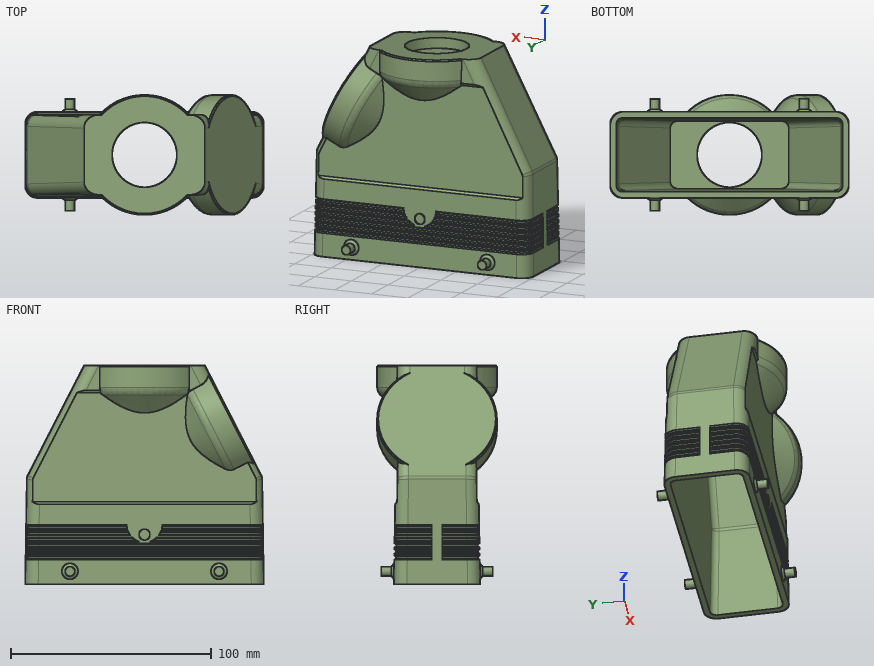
import cadquery as cq
import math

LENGTH = 119.2
HALF_WIDTH = 21.6
HEIGHT = 109.2
DRAFT_ANGLE = 0.9
SHOULDER_Z = 53.4
TOP_HALF_LENGTH = 30.2
CORNER_RADIUS = 6.4
SHOULDER_ROUND = 3.6

WALL = 3.1
ROOF_THICKNESS = 5.5
ENTRY_RADIUS = 16.1

RECESS_DEPTH = 1.0
RECESS_RAMP = 1.3
RECESS_BOTTOM_Z = 40.0
RECESS_TOP_Z = 96.8

COLLAR_DIAMETER = 60.0
COLLAR_RADIUS = COLLAR_DIAMETER / 2
COLLAR_CYLINDER_HEIGHT = 13.0
COLLAR_CONE_HEIGHT = 13.1
COLLAR_ROUND = 5.4
SLOPE_COLLAR_SHIFT = 1.2
RIM_CHAMFER = 0.7

GROOVE_COUNT = 6
GROOVE_BOTTOM_Z = 12.2
GROOVE_TOP_Z = 29.7
GROOVE_MOUTH = 2.3
GROOVE_FLOOR = 1.0
GROOVE_DEPTH = 0.8
GROOVE_PITCH = (GROOVE_TOP_Z - GROOVE_MOUTH - GROOVE_BOTTOM_Z) / (GROOVE_COUNT - 1)
END_GAP_HALF_WIDTH = 2.6

TONGUE_RADIUS = 8.8
DIMPLE_RADIUS = 2.7
DIMPLE_Z = 24.8
DIMPLE_DEPTH = 0.6

PEG_X = 37.2
PEG_Z = 6.4
PEG_RADIUS = 2.4
PEG_TIP_Y = 27.9
PEG_BASE_RADIUS = 4.0
PEG_BASE_TIP_Y = 22.8

EDGE_BAND = 3.6

DRAFT_SLOPE = math.tan(math.radians(DRAFT_ANGLE))
SHOULDER_HALF_LENGTH = LENGTH / 2 - DRAFT_SLOPE * SHOULDER_Z
SLOPE_RUN = SHOULDER_HALF_LENGTH - TOP_HALF_LENGTH
SLOPE_RISE = HEIGHT - SHOULDER_Z
SLOPE_LENGTH = math.hypot(SLOPE_RUN, SLOPE_RISE)
SLOPE_NORMAL = (SLOPE_RISE / SLOPE_LENGTH, 0, SLOPE_RUN / SLOPE_LENGTH)
SLOPE_COLLAR_REACH = SLOPE_LENGTH / 2 + SLOPE_COLLAR_SHIFT
SLOPE_COLLAR_CENTER = (
    SHOULDER_HALF_LENGTH - SLOPE_COLLAR_REACH * SLOPE_NORMAL[2],
    0,
    SHOULDER_Z + SLOPE_COLLAR_REACH * SLOPE_NORMAL[0],
)


def half_width_at(z):
    """Half width of the drafted broad faces at height z."""
    return HALF_WIDTH - DRAFT_SLOPE * z


def edges_near(z):
    """Selector for edges whose centre lies in a thin band around height z."""
    return cq.selectors.BoxSelector(
        (-LENGTH, -LENGTH, z - EDGE_BAND),
        (LENGTH, LENGTH, z + EDGE_BAND),
    )


def hood(inset, top_z):
    """Drafted block with sloped, rounded shoulders, its sides moved inwards by inset."""
    slope_ratio = SLOPE_RUN / SLOPE_RISE
    foot_x = SHOULDER_HALF_LENGTH + slope_ratio * SHOULDER_Z - inset / SLOPE_NORMAL[0]
    crown_x = foot_x - slope_ratio * top_z
    gable = (
        cq.Workplane("XZ")
        .polyline([(-foot_x, 0), (foot_x, 0), (crown_x, top_z), (-crown_x, top_z)])
        .close()
        .extrude(HALF_WIDTH, both=True)
    )
    block = (
        cq.Workplane("XY")
        .rect(LENGTH - 2 * inset, 2 * (HALF_WIDTH - inset))
        .extrude(HEIGHT, taper=DRAFT_ANGLE)
        .intersect(gable)
    )
    block = block.edges(edges_near(SHOULDER_Z)).fillet(SHOULDER_ROUND)
    return block.edges("not(#Z or |Y)").fillet(CORNER_RADIUS - inset)


def face_recess():
    """Cutter for the recess on the -Y face; its ends are short ramps."""
    def face_y(z, depth):
        return -half_width_at(z) + depth

    ramp_top = RECESS_TOP_Z - RECESS_RAMP
    ramp_bottom = RECESS_BOTTOM_Z + RECESS_RAMP
    outside_y = -HALF_WIDTH - RECESS_DEPTH
    return (
        cq.Workplane("YZ")
        .polyline([
            (outside_y, RECESS_BOTTOM_Z),
            (face_y(RECESS_BOTTOM_Z, 0), RECESS_BOTTOM_Z),
            (face_y(ramp_bottom, RECESS_DEPTH), ramp_bottom),
            (face_y(ramp_top, RECESS_DEPTH), ramp_top),
            (face_y(RECESS_TOP_Z, 0), RECESS_TOP_Z),
            (outside_y, RECESS_TOP_Z),
        ])
        .close()
        .extrude(LENGTH / 2, both=True)
    )


def collar(center, outward):
    """Round collar whose flat rim lies at center and faces outward."""
    cone_tip_radius = COLLAR_RADIUS - COLLAR_CONE_HEIGHT
    cone_end = -COLLAR_CYLINDER_HEIGHT - COLLAR_CONE_HEIGHT
    turned = (
        cq.Workplane("XZ")
        .polyline([
            (0, 0),
            (COLLAR_RADIUS, 0),
            (COLLAR_RADIUS, -COLLAR_CYLINDER_HEIGHT),
            (cone_tip_radius, cone_end),
            (0, cone_end),
        ])
        .close()
        .revolve(360, (0, 0, 0), (0, 1, 0))
    )
    turned = turned.faces(">Z").chamfer(RIM_CHAMFER)
    turned = turned.edges(edges_near(-COLLAR_CYLINDER_HEIGHT)).fillet(COLLAR_ROUND)
    seat = cq.Plane(origin=center, xDir=(0, 1, 0), normal=outward)
    return cq.Workplane(turned.val().moved(cq.Location(seat)))


def groove(bottom_z):
    """Trapezoidal groove all round the skirt, starting at bottom_z."""
    inset = DRAFT_SLOPE * (bottom_z + GROOVE_MOUTH / 2)
    length = LENGTH - 2 * inset
    width = 2 * (HALF_WIDTH - inset)
    flank = (GROOVE_MOUTH - GROOVE_FLOOR) / 2
    flank_angle = math.degrees(math.atan2(GROOVE_DEPTH, flank))
    floor_radius = CORNER_RADIUS - GROOVE_DEPTH

    def outline(z, side_inset, radius):
        sketch = cq.Sketch().rect(length - 2 * side_inset, width - 2 * side_inset)
        return cq.Workplane("XY", origin=(0, 0, z)).placeSketch(sketch.vertices().fillet(radius))

    lower = outline(bottom_z, 0, CORNER_RADIUS).extrude(flank, taper=flank_angle)
    middle = outline(bottom_z + flank, GROOVE_DEPTH, floor_radius).extrude(GROOVE_FLOOR)
    upper = lower.mirror("XY", (0, 0, bottom_z + GROOVE_MOUTH / 2))
    core = lower.union(middle).union(upper)
    slab = (
        cq.Workplane("XY", origin=(0, 0, bottom_z))
        .rect(2 * LENGTH, 4 * HALF_WIDTH)
        .extrude(GROOVE_MOUTH)
    )
    return slab.cut(core)


def groove_interruptions():
    """Volumes kept free of grooves: the end gaps and the two tongues."""
    gap = cq.Workplane("XY").box(2 * LENGTH, 2 * END_GAP_HALF_WIDTH, 2 * HEIGHT)
    tongue = (
        cq.Workplane("XZ", origin=(0, 0, GROOVE_TOP_Z))
        .circle(TONGUE_RADIUS)
        .extrude(2 * HALF_WIDTH, both=True)
    )
    return gap.union(tongue)


def peg():
    """Locking peg on the -Y side with a conical foot, centred on x = 0."""
    root_y = HALF_WIDTH - WALL / 2
    face_y = half_width_at(PEG_Z)
    return (
        cq.Workplane("XY", origin=(0, 0, PEG_Z))
        .polyline([
            (0, -root_y),
            (PEG_BASE_RADIUS, -root_y),
            (PEG_BASE_RADIUS, -face_y),
            (PEG_RADIUS, -PEG_BASE_TIP_Y),
            (PEG_RADIUS, -PEG_TIP_Y),
            (0, -PEG_TIP_Y),
        ])
        .close()
        .revolve(360, (0, 0, 0), (0, 1, 0))
    )


def dimple():
    """Round shallow dimple in the tongue of the -Y face."""
    floor_y = half_width_at(DIMPLE_Z) - DIMPLE_DEPTH
    return (
        cq.Workplane("XZ", origin=(0, -floor_y, DIMPLE_Z))
        .circle(DIMPLE_RADIUS)
        .extrude(HALF_WIDTH)
    )


result = hood(0, HEIGHT)
recess = face_recess()
result = result.cut(recess).cut(recess.mirror("XZ"))

smooth_areas = groove_interruptions()
for index in range(GROOVE_COUNT):
    result = result.cut(groove(GROOVE_BOTTOM_Z + index * GROOVE_PITCH).cut(smooth_areas))
result = result.cut(dimple()).cut(dimple().mirror("XZ"))

result = result.union(collar((0, 0, HEIGHT), (0, 0, 1)))
result = result.union(collar(SLOPE_COLLAR_CENTER, SLOPE_NORMAL))

for side in (-1, 1):
    side_peg = peg().translate((side * PEG_X, 0, 0))
    result = result.union(side_peg).union(side_peg.mirror("XZ"))

result = result.cut(hood(WALL, HEIGHT - ROOF_THICKNESS))
entry = (
    cq.Workplane("XY", origin=(0, 0, HEIGHT - 2 * ROOF_THICKNESS))
    .circle(ENTRY_RADIUS)
    .extrude(2 * ROOF_THICKNESS)
)
result = result.cut(entry)